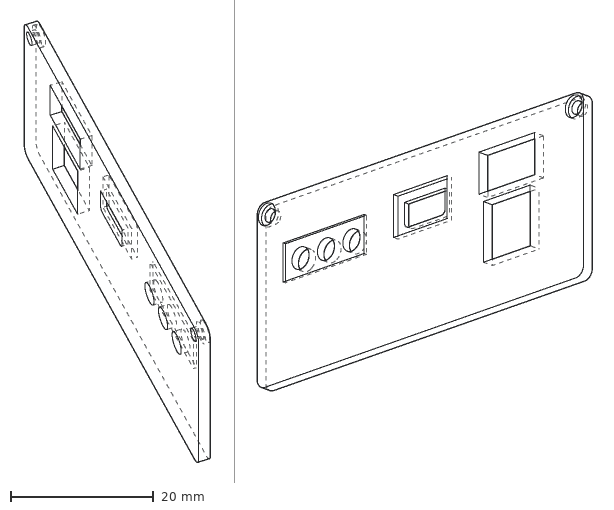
import cadquery as cq

length = 63.8
thickness = 1.8
height = 27.8
corner_radius = 1.5

mount_diameter = 2.0
mount_inset = 1.9
counterbore_diameter = 3.3
counterbore_depth = 0.65

row_diameter = 3.3
row_pitch = 5.0
row_middle_x = 18.9
row_z = 3.9
row_count = 3

upper_x = -16.9
upper_z = 6.95
upper_width = 10.9
upper_height = 6.3
lower_x = upper_x
lower_z = -2.1
lower_side = 9.1

connector_x = 0.0
connector_z = 5.05
connector_width = 7.9
connector_height = 3.9
connector_radius = 0.75

connector_recess_depth = 0.9
row_recess_depth = 0.45
recess_margin = 1.3


def block(width, tall, x=0.0, z=0.0):
    """Box through the full plate thickness, centred at (x, z)."""
    return cq.Workplane("XY").box(width, thickness, tall).translate((x, 0, z))


def round_cutter(diameter, points):
    """Cylinders along Y through the plate at the given (x, z) points."""
    return (
        cq.Workplane("XZ")
        .pushPoints(points)
        .circle(diameter / 2)
        .extrude(thickness / 2, both=True)
    )


def back_recess(width, tall, x, z, depth):
    """Rectangular pocket in the back face around an opening of the given size."""
    pocket = block(width + 2 * recess_margin, tall + 2 * recess_margin, x, z)
    return pocket.translate((0, thickness - depth, 0))


plate = block(length, height).edges("|Y").fillet(corner_radius)

mount_x = length / 2 - mount_inset
mount_z = height / 2 - mount_inset
mount_points = [(-mount_x, mount_z), (mount_x, mount_z)]
mount_holes = round_cutter(mount_diameter, mount_points)

counterbores = round_cutter(counterbore_diameter, mount_points).translate(
    (0, thickness - counterbore_depth, 0)
)

row_start_x = row_middle_x - row_pitch * (row_count - 1) / 2
row_points = [(row_start_x + i * row_pitch, row_z) for i in range(row_count)]
row_holes = round_cutter(row_diameter, row_points)

upper_window = block(upper_width, upper_height, upper_x, upper_z)
lower_window = block(lower_side, lower_side, lower_x, lower_z)

connector_opening = (
    block(connector_width, connector_height, connector_x, connector_z)
    .edges("|Y and <Z")
    .fillet(connector_radius)
)

connector_recess = back_recess(
    connector_width, connector_height, connector_x, connector_z, connector_recess_depth
)
row_width = row_pitch * (row_count - 1) + row_diameter
row_recess = back_recess(row_width, row_diameter, row_middle_x, row_z, row_recess_depth)

openings = (mount_holes, row_holes, upper_window, lower_window, connector_opening)
recesses = (counterbores, connector_recess, row_recess)

result = plate
for cutter in openings + recesses:
    result = result.cut(cutter)